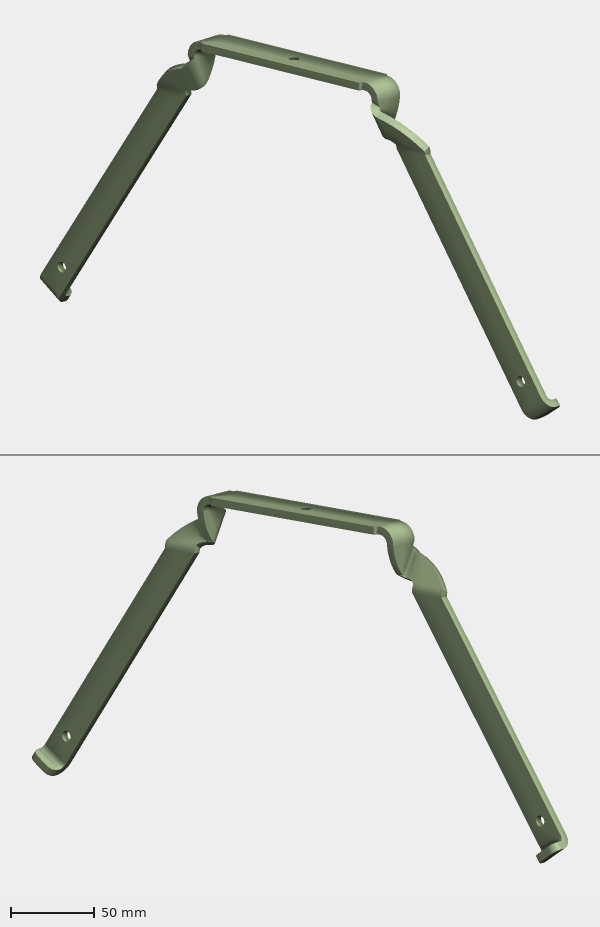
import cadquery as cq
import math

span = 412.8
height = 190.3
sheet = 5.0

plate_width = 25.0
plate_half_length = 64.5
plate_corner_radius = 1.2
hole_diameter = 6.5

neck_width = 20.2
neck_half_length = 66.5
neck_bend_outer = 10.5
neck_bend_inner = neck_bend_outer - sheet
wall_outer_x = -neck_half_length - neck_bend_outer
wall_inner_x = wall_outer_x + sheet
wall_bulge = (7.0, -21.0)

leg_width = 19.0
leg_angle = 55.0
leg_top_z = -39.2
leg_hole_from_tip = 23.0
leg_bend_radius = 5.0
lip_bend_inner = 3.5
lip_bend_outer = lip_bend_inner + sheet
lip_rear_y = plate_width / 2
lip_corner_radius = 5.5

flap_tilt = 30.0
side_bend_inner = 2.0
side_bend_outer = side_bend_inner + sheet
side_bend_x = wall_inner_x - side_bend_outer
flap_low_end = 4.0
flap_high_end = 22.3
flap_low_mid = (-82.5, 3.5)
flap_high_mid = (-93.3, 15.5)
wall_low_end = 5.0
wall_high_end = 26.0
bend_high_mid = (3.0, 24.0)
bend_high_end = 26.5

leg_cos = math.cos(math.radians(leg_angle))
leg_sin = math.sin(math.radians(leg_angle))
tilt_cos = math.cos(math.radians(flap_tilt))
tilt_sin = math.sin(math.radians(flap_tilt))

tip_outer = (-span / 2, -height + leg_width * leg_cos)
tip_inner = (-span / 2 + leg_width * leg_sin, -height)
tip_middle = ((tip_outer[0] + tip_inner[0]) / 2, 0, (tip_outer[1] + tip_inner[1]) / 2)
leg_top_outer_x = tip_outer[0] + (leg_top_z - tip_outer[1]) * leg_cos / leg_sin
leg_top_inner_x = tip_inner[0] + (leg_top_z - tip_inner[1]) * leg_cos / leg_sin

flap_start = leg_bend_radius * math.tan(math.radians(flap_tilt / 2))
flap_origin = (0, -sheet / 2, leg_top_z + flap_start)
flap_rise = (0, -tilt_sin, tilt_cos)
flap_face = cq.Plane(flap_origin, (1, 0, 0), (0, -tilt_cos, -tilt_sin))
flap_cross = cq.Plane(flap_origin, (1, 0, 0), flap_rise)


def flap_point(depth, rise):
    """Y and Z of a point given in the flap's own directions."""
    y = flap_origin[1] + depth * tilt_cos - rise * tilt_sin
    z = flap_origin[2] + depth * tilt_sin + rise * tilt_cos
    return (y, z)


def top_plate():
    plate = cq.Workplane("XY").box(2 * plate_half_length, plate_width, sheet, centered=(True, True, False))
    plate = plate.translate((0, 0, -sheet)).edges("|Z").fillet(plate_corner_radius)
    return plate.faces(">Z").workplane().hole(hole_diameter)


def neck():
    """Short tab off the plate and the quarter bend down to the wall."""
    slant = math.sqrt(0.5)
    return (
        cq.Workplane("XZ", origin=(0, neck_width / 2, 0))
        .moveTo(-plate_half_length, 0)
        .lineTo(-neck_half_length, 0)
        .threePointArc(
            (-neck_half_length - neck_bend_outer * slant, -neck_bend_outer * (1 - slant)),
            (wall_outer_x, -neck_bend_outer),
        )
        .lineTo(wall_inner_x, -neck_bend_outer)
        .threePointArc(
            (-neck_half_length - neck_bend_inner * slant, -neck_bend_outer + neck_bend_inner * slant),
            (-neck_half_length, -sheet),
        )
        .lineTo(-plate_half_length, -sheet)
        .close()
        .extrude(neck_width)
    )


def wall():
    """Vertical tongue below the neck, ending along the slanted side bend."""
    half = neck_width / 2
    return (
        cq.Workplane("YZ", origin=(wall_outer_x, 0, 0))
        .moveTo(half, -neck_bend_outer)
        .lineTo(-half, -neck_bend_outer)
        .lineTo(*flap_point(side_bend_outer, wall_high_end))
        .lineTo(*flap_point(side_bend_outer, wall_low_end))
        .threePointArc(wall_bulge, (half, -neck_bend_outer))
        .close()
        .extrude(sheet)
    )


def side_bend():
    """Quarter bend from the flap to the wall, its upper edge rising towards the wall."""
    tube = (
        cq.Workplane(flap_cross)
        .center(side_bend_x, side_bend_outer)
        .circle(side_bend_outer)
        .circle(side_bend_inner)
        .extrude(bend_high_end)
    )
    quarter = (
        cq.Workplane(flap_face)
        .moveTo(side_bend_x, flap_low_end)
        .lineTo(wall_inner_x, wall_low_end)
        .lineTo(wall_inner_x, bend_high_end)
        .threePointArc((side_bend_x + bend_high_mid[0], bend_high_mid[1]), (side_bend_x, flap_high_end))
        .close()
        .extrude(-side_bend_outer)
    )
    return tube.intersect(quarter)


def flap():
    return (
        cq.Workplane(flap_face)
        .moveTo(leg_top_inner_x, flap_start)
        .lineTo(leg_top_outer_x, flap_start)
        .threePointArc(flap_high_mid, (side_bend_x, flap_high_end))
        .lineTo(side_bend_x, flap_low_end)
        .threePointArc(flap_low_mid, (leg_top_inner_x, flap_start))
        .close()
        .extrude(-sheet)
    )


def leg_bend():
    """Bend between leg and flap, turning about an X-parallel axis in front of the leg."""
    return (
        cq.Workplane("XY", origin=(0, 0, leg_top_z))
        .moveTo(leg_top_outer_x, -sheet / 2)
        .lineTo(leg_top_inner_x, -sheet / 2)
        .lineTo(leg_top_inner_x, sheet / 2)
        .lineTo(leg_top_outer_x, sheet / 2)
        .close()
        .revolve(flap_tilt, (0, -sheet / 2 - leg_bend_radius), (1, -sheet / 2 - leg_bend_radius))
    )


def lip():
    """Rearward lip at the leg's tip; local X runs up the leg, local Y rearwards."""
    across = (-leg_sin, 0, leg_cos)
    tip_plane = cq.Plane(tip_middle, (leg_cos, 0, leg_sin), across)
    profile = (
        cq.Workplane(tip_plane)
        .moveTo(lip_bend_outer, -sheet / 2)
        .radiusArc((0, -sheet / 2 + lip_bend_outer), lip_bend_outer)
        .lineTo(0, lip_rear_y)
        .lineTo(sheet, lip_rear_y)
        .lineTo(sheet, -sheet / 2 + lip_bend_outer)
        .radiusArc((lip_bend_outer, sheet / 2), -lip_bend_inner)
        .close()
        .extrude(leg_width / 2, both=True)
    )
    rear_corners = cq.selectors.ParallelDirSelector(cq.Vector(leg_cos, 0, leg_sin))
    return profile.faces(">Y").edges(rear_corners).fillet(lip_corner_radius)


def leg():
    bend_dx = lip_bend_outer * leg_cos
    bend_dz = lip_bend_outer * leg_sin
    hole_x = tip_middle[0] + leg_hole_from_tip * leg_cos
    hole_z = tip_middle[2] + leg_hole_from_tip * leg_sin
    strip = (
        cq.Workplane("XZ")
        .moveTo(tip_outer[0] + bend_dx, tip_outer[1] + bend_dz)
        .lineTo(leg_top_outer_x, leg_top_z)
        .lineTo(leg_top_inner_x, leg_top_z)
        .lineTo(tip_inner[0] + bend_dx, tip_inner[1] + bend_dz)
        .close()
        .extrude(sheet / 2, both=True)
    )
    hole = cq.Workplane("XZ").center(hole_x, hole_z).circle(hole_diameter / 2).extrude(sheet, both=True)
    return strip.cut(hole)


def left_arm():
    arm = neck()
    for piece in (wall(), side_bend(), flap(), leg_bend(), leg(), lip()):
        arm = arm.union(piece)
    return arm


arm = left_arm()
result = top_plate().union(arm).union(arm.mirror("YZ"))